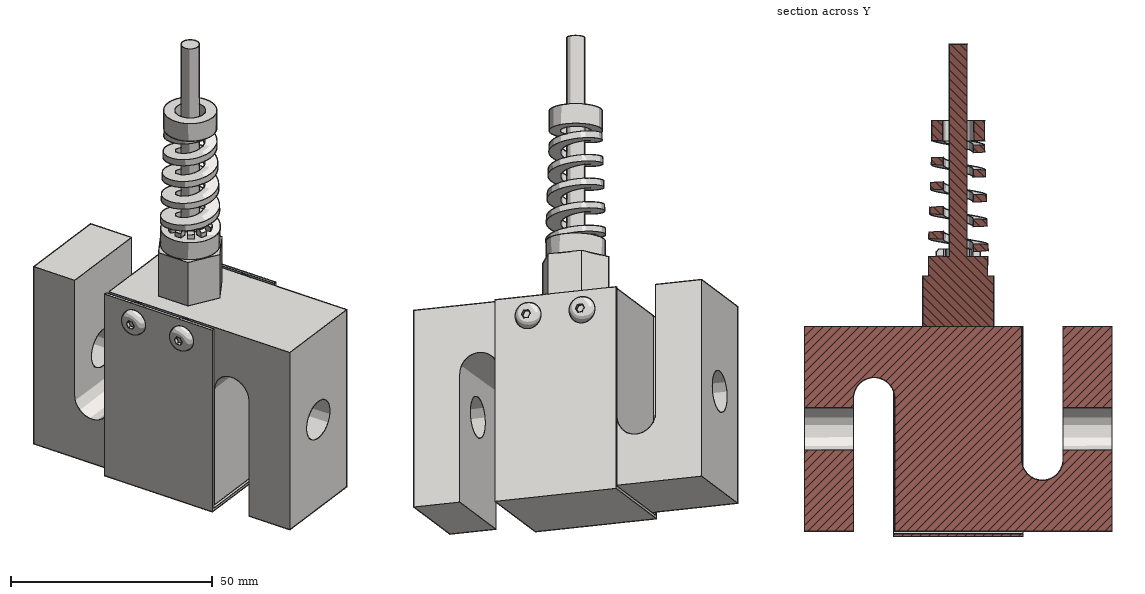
import cadquery as cq
import math


block_length = 76.2
block_width = 25.4
block_height = 50.8
arm_thickness = 12.19
slot_width = 10.16
slot_depth = 38.1
mounting_hole_diameter = 10.44

cover_length = 32.1
cover_thickness = 0.76
cover_side_gap = 0.76
cover_drop = 1.27
cover_outer_width = block_width + 2 * (cover_side_gap + cover_thickness)
cover_inner_width = block_width + 2 * cover_side_gap

washer_diameter = 9.53
screw_spacing = 14.28
screw_drop = 5.08
head_diameter = 6.66
head_flat_diameter = 3.79
head_height = 1.86
head_rim_height = 0.3
head_shoulder_diameter = 5.8
head_shoulder_height = 1.35
socket_across_flats = 1.98
socket_depth = 1.0

hex_across_flats = 15.24
hex_height = 12.45
neck_diameter = 14.73
neck_height = 4.83
finger_count = 10
finger_outer_diameter = 11.05
finger_inner_diameter = 7.37
finger_width = 1.7
finger_height = 1.9
finger_chamfer = 0.7

collar_outer_diameter = 13.21
collar_inner_diameter = 7.62
collar_height = 5.08
collar_top_above_block = 50.95
spring_inner_diameter = 7.37
spring_bottom_diameter = 15.0
spring_top_diameter = 13.0
spring_pitch = 6.12
coil_thickness = 2.0
coil_edge_thickness = 1.5
coil_crease_diameter = 10.6
coil_center_above_neck = 2.2
trim_allowance = 0.3
cable_diameter = 4.57
cable_length = 69.85

neck_bottom = block_height + hex_height
neck_top = neck_bottom + neck_height
collar_top = block_height + collar_top_above_block
collar_bottom = collar_top - collar_height


def cylinder(diameter, bottom, height):
    """Upright cylinder on the cable axis."""
    return cq.Workplane("XY").workplane(offset=bottom).circle(diameter / 2).extrude(height)


def hex_corner_diameter(across_flats):
    """Corner-to-corner size of a regular hexagon."""
    return across_flats / math.cos(math.pi / 6)


def beam_slot():
    """Cutter for the left slot: open at the top, with a round bottom."""
    slot_center = -block_length / 2 + arm_thickness + slot_width / 2
    radius = slot_width / 2
    round_center = block_height - slot_depth + radius
    return (
        cq.Workplane("XZ")
        .moveTo(slot_center - radius, block_height)
        .lineTo(slot_center - radius, round_center)
        .threePointArc((slot_center, round_center - radius), (slot_center + radius, round_center))
        .lineTo(slot_center + radius, block_height)
        .close()
        .extrude(block_width / 2, both=True)
    )


def beam_block():
    """S-shaped block: two opposed slots and a mounting hole through each arm."""
    block = cq.Workplane("XY").box(block_length, block_width, block_height, centered=(True, True, False))
    left_slot = beam_slot()
    right_slot = left_slot.rotate((0, 0, block_height / 2), (0, 1, block_height / 2), 180)
    block = block.cut(left_slot).cut(right_slot)
    for arm_start in (-block_length / 2, block_length / 2 - arm_thickness):
        hole = (
            cq.Workplane("YZ", origin=(arm_start, 0, block_height / 2))
            .circle(mounting_hole_diameter / 2)
            .extrude(arm_thickness)
        )
        block = block.cut(hole)
    return block


def cover():
    """U-shaped cover: two side plates joined by a floor under the beam."""
    outer = (
        cq.Workplane("XY", origin=(0, 0, -cover_drop))
        .box(cover_length, cover_outer_width, block_height + cover_drop, centered=(True, True, False))
    )
    floor_top = cover_thickness - cover_drop
    inner = (
        cq.Workplane("XY", origin=(0, 0, floor_top))
        .box(cover_length, cover_inner_width, block_height - floor_top, centered=(True, True, False))
    )
    return outer.cut(inner)


def screw_and_washer():
    """Washer standing on Z = 0, then a domed, hex-socket screw head beyond the cover plate."""
    head_base = cover_side_gap + cover_thickness
    head_top = head_base + head_height
    rim_radius = head_diameter / 2
    flat_radius = head_flat_diameter / 2
    dome_bulge = (head_shoulder_diameter / 2, head_base + head_shoulder_height)
    head = (
        cq.Workplane("XZ")
        .moveTo(0, head_base)
        .lineTo(rim_radius, head_base)
        .lineTo(rim_radius, head_base + head_rim_height)
        .threePointArc(dome_bulge, (flat_radius, head_top))
        .lineTo(0, head_top)
        .close()
        .revolve(360, (0, 0, 0), (0, 1, 0))
    )
    socket = (
        cq.Workplane("XY", origin=(0, 0, head_top - socket_depth))
        .polygon(6, hex_corner_diameter(socket_across_flats))
        .extrude(socket_depth)
    )
    return head.cut(socket).union(cylinder(washer_diameter, 0, cover_side_gap))


def load_cell():
    """Beam block with its cover, washers and cover screws as one solid."""
    body = beam_block().union(cover())
    for side_turn in (0, 180):
        for screw_x in (-screw_spacing / 2, screw_spacing / 2):
            fastener = (
                screw_and_washer()
                .rotate((0, 0, 0), (1, 0, 0), 90)
                .translate((screw_x, -block_width / 2, block_height - screw_drop))
                .rotate((0, 0, 0), (0, 0, 1), side_turn)
            )
            body = body.union(fastener)
    return body


def gland():
    """Hexagon, round neck and the ring of collet fingers above it."""
    body = (
        cq.Workplane("XY", origin=(0, 0, block_height))
        .polygon(6, hex_corner_diameter(hex_across_flats))
        .extrude(hex_height)
    )
    body = body.union(cylinder(neck_diameter, neck_bottom, neck_height))
    ring = cylinder(finger_outer_diameter, neck_top, finger_height).faces(">Z").chamfer(finger_chamfer)
    ring = ring.cut(cylinder(finger_inner_diameter, neck_top, finger_height))
    for index in range(finger_count):
        finger_blank = (
            cq.Workplane("XY", origin=(0, 0, neck_top))
            .center(0, -finger_outer_diameter / 4)
            .rect(finger_width, finger_outer_diameter / 2)
            .extrude(finger_height)
            .rotate((0, 0, 0), (0, 0, 1), index * 360 / finger_count)
        )
        body = body.union(ring.intersect(finger_blank))
    return body


def spring():
    """Helical coil, thinner at its outer edge, trimmed to a bored cone tapering from neck to collar."""
    inner_radius = spring_inner_diameter / 2
    outer_radius = spring_bottom_diameter / 2
    crease_radius = coil_crease_diameter / 2
    half_thickness = coil_thickness / 2
    half_edge = coil_edge_thickness / 2
    coil_start = neck_top + coil_center_above_neck - spring_pitch
    coil_height = collar_top - coil_start
    path = cq.Wire.makeHelix(spring_pitch, coil_height, crease_radius)
    coil = (
        cq.Workplane("XZ")
        .polyline([
            (inner_radius - trim_allowance, -half_thickness),
            (crease_radius, -half_thickness),
            (outer_radius + trim_allowance, -half_edge),
            (outer_radius + trim_allowance, half_edge),
            (crease_radius, half_thickness),
            (inner_radius - trim_allowance, half_thickness),
        ])
        .close()
        .sweep(cq.Workplane(obj=path), isFrenet=True)
        .rotate((0, 0, 0), (0, 0, 1), 180)
        .translate((0, 0, coil_start))
    )
    envelope = (
        cq.Workplane("XZ")
        .polyline([
            (inner_radius, neck_top),
            (outer_radius, neck_top),
            (spring_top_diameter / 2, collar_bottom),
            (inner_radius, collar_bottom),
        ])
        .close()
        .revolve(360, (0, 0, 0), (0, 1, 0))
    )
    return coil.intersect(envelope)


def cord_grip():
    """Gland, spring, end collar and cable as one solid."""
    collar = cylinder(collar_outer_diameter, collar_bottom, collar_height)
    collar = collar.cut(cylinder(collar_inner_diameter, collar_bottom, collar_height))
    cable = cylinder(cable_diameter, block_height, cable_length)
    return gland().union(spring()).union(collar).union(cable)


result = cq.Compound.makeCompound([load_cell().solids().val(), cord_grip().solids().val()])